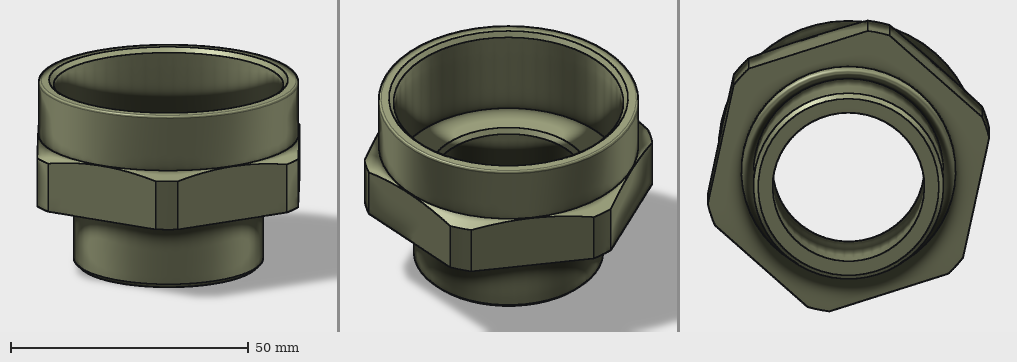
import cadquery as cq
import math

total_height = 40.0
hex_bottom = 16.0
hex_top = 28.0
bore_floor = 21.0

across_flats = 55.0
corner_radius = 30.5
hex_chamfer_height = 1.45

spigot_radius = 20.0
collar_radius = 27.4
bore_radius = 24.2
passage_radius = 16.0
edge_chamfer = 1.0
collar_edge_fillet = 0.5

seal_section_radius = 1.3
seal_projection = 1.45
seal_mean_radius = spigot_radius + seal_section_radius
seal_center_height = hex_bottom - seal_projection + seal_section_radius


def cylinder(radius, bottom, top):
    return cq.Workplane("XY").workplane(offset=bottom).circle(radius).extrude(top - bottom)


def make_hexagon():
    """Hexagon with corners on +Y and -Y, trimmed by a chamfered round blank."""
    circumscribed_diameter = across_flats / math.cos(math.radians(30))
    prism = (
        cq.Workplane("XY")
        .workplane(offset=hex_bottom)
        .transformed(rotate=(0, 0, 90))
        .polygon(6, circumscribed_diameter)
        .extrude(hex_top - hex_bottom)
    )
    blank = (
        cq.Workplane("XZ")
        .moveTo(0, hex_bottom)
        .lineTo(corner_radius, hex_bottom)
        .lineTo(corner_radius, hex_top - hex_chamfer_height)
        .lineTo(collar_radius, hex_top)
        .lineTo(0, hex_top)
        .close()
        .revolve(360, (0, 0, 0), (0, 1, 0))
    )
    return prism.intersect(blank)


def make_bored_hole(radius, bottom, top):
    """Cutter for a round hole with a chamfered upper mouth."""
    mouth = (
        cq.Workplane("XY")
        .workplane(offset=top - edge_chamfer)
        .circle(radius)
        .workplane(offset=edge_chamfer)
        .circle(radius + edge_chamfer)
        .loft(ruled=True)
    )
    return cylinder(radius, bottom, top).union(mouth)


def make_seal_groove():
    """Square-cornered groove around the spigot that the seal ring bottoms in."""
    groove_top = seal_center_height + seal_section_radius
    groove_outer_radius = seal_mean_radius + seal_section_radius
    return cylinder(groove_outer_radius, hex_bottom, groove_top).cut(
        cylinder(spigot_radius, hex_bottom, groove_top)
    )


def make_housing():
    spigot = cylinder(spigot_radius, 0, hex_bottom).faces("<Z").chamfer(edge_chamfer)
    collar = cylinder(collar_radius, hex_top, total_height).faces(">Z").edges().fillet(collar_edge_fillet)
    return (
        make_hexagon()
        .cut(make_seal_groove())
        .union(spigot)
        .union(collar)
        .cut(make_bored_hole(bore_radius, bore_floor, total_height))
        .cut(make_bored_hole(passage_radius, 0, bore_floor))
    )


def make_seal_ring():
    return (
        cq.Workplane("XZ")
        .center(seal_mean_radius, seal_center_height)
        .circle(seal_section_radius)
        .revolve(360, (-seal_mean_radius, 0, 0), (-seal_mean_radius, 1, 0))
    )


housing = make_housing()
seal_ring = make_seal_ring()
result = cq.Compound.makeCompound([housing.solids().val(), seal_ring.val()])